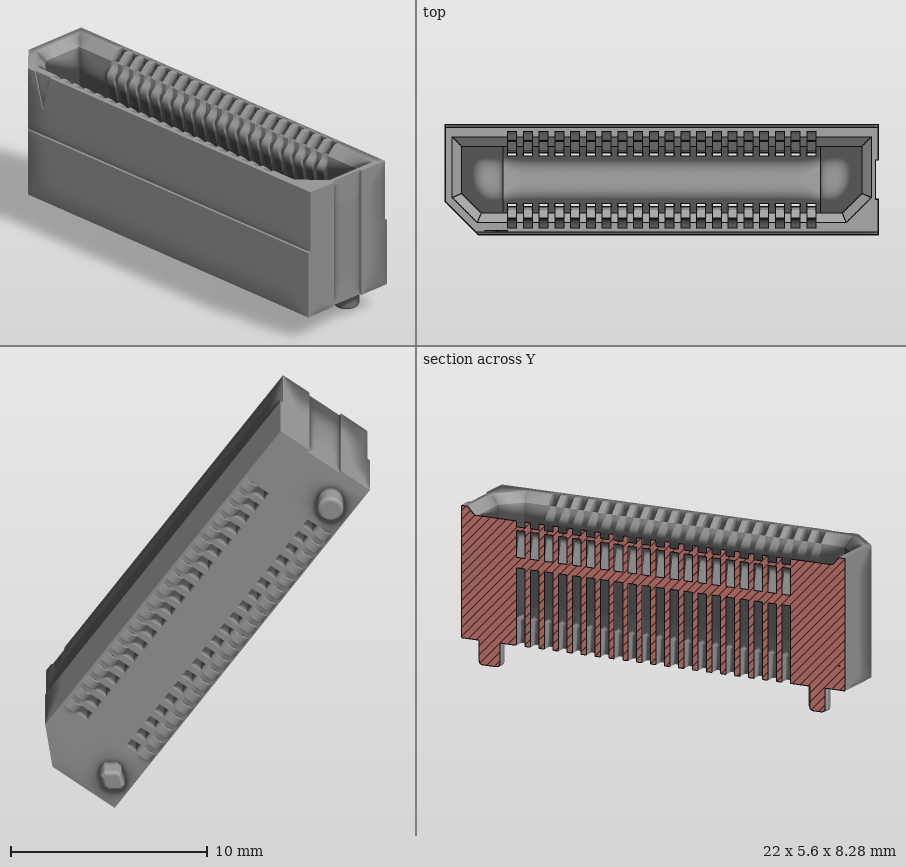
import cadquery as cq
import math

LENGTH = 22.0
BASE_WIDTH = 5.6
HEIGHT = 7.0
STEP_WIDTH = 0.15
STEP_HEIGHT = 3.63
CORNER_CUT = 1.7
END_RECESS_DEPTH = 0.13
END_RECESS_WIDTH = 1.98

MOUTH_LENGTH = 21.3
MOUTH_WIDTH = 4.35
MOUTH_CORNER = 1.28
LEAD_IN = 0.48
FLOOR_HEIGHT = 1.32
END_FLOOR_HEIGHT = 1.0
MIDDLE_FLOOR_LENGTH = 16.1

MARK_WIDTH = 1.15
MARK_HEIGHT = 2.0
MARK_DEPTH = 0.07
MARK_X = -8.4

CONTACTS_PER_ROW = 20
ROW_SPAN = 15.2
PITCH = ROW_SPAN / (CONTACTS_PER_ROW - 1)
CONTACT_WIDTH = 0.46
THICKNESS = 0.15
SLOT_INNER_Y = 1.2
SLOT_OUTER_Y = 2.45
TAIL_RADIUS = 0.46
TAIL_DROP = 0.22
LEG_Y = 1.85
LEG_TOP = 3.75
TIP_Y = 1.32
TIP_HEIGHT = 5.83
TIP_RADIUS = 0.45
ARM_REACH = 0.62

PEG_LENGTH = 1.28
PEG_X = 9.4
PEG_Y = 1.5
PEG_RADIUS = 0.65
PEG_ROUNDING = 0.2
DIAMOND_HALF_X = 0.55
DIAMOND_TIP_HALF_Y = 0.13
DIAMOND_TIP_HALF_X = 0.165


def make_housing():
    base = cq.Workplane("XY").box(LENGTH, BASE_WIDTH, STEP_HEIGHT, centered=(True, True, False))
    top_width = BASE_WIDTH - 2 * STEP_WIDTH
    body = base.union(cq.Workplane("XY").box(LENGTH, top_width, HEIGHT, centered=(True, True, False)))
    left, front = -LENGTH / 2, -BASE_WIDTH / 2
    corner = (
        cq.Workplane("XY")
        .polyline([(left, front), (left + CORNER_CUT, front), (left, front + CORNER_CUT)])
        .close()
        .extrude(HEIGHT)
    )
    recess = cq.Workplane("XY").box(
        2 * END_RECESS_DEPTH, END_RECESS_WIDTH, HEIGHT, centered=(True, True, False)
    )
    return body.cut(corner).cut(recess.translate((LENGTH / 2, 0, 0)))


def cavity_outline(height, inset):
    """Cavity outline at a height, moved in evenly from the mouth."""
    x = MOUTH_LENGTH / 2 - inset
    y = MOUTH_WIDTH / 2 - inset
    cut = MOUTH_CORNER - inset * (2 - math.sqrt(2))
    points = [(-x, y), (-x, -y + cut), (-x + cut, -y), (x - cut, -y), (x, -y + cut), (x, y)]
    return cq.Workplane("XY").workplane(offset=height).polyline(points).close()


def make_cavity():
    lead_in_bottom = HEIGHT - LEAD_IN
    well = cavity_outline(END_FLOOR_HEIGHT, LEAD_IN).extrude(lead_in_bottom - END_FLOOR_HEIGHT)
    lead_in = cq.Workplane(
        cq.Solid.makeLoft(
            [cavity_outline(lead_in_bottom, LEAD_IN).val(), cavity_outline(HEIGHT, 0).val()], True
        )
    )
    raised_floor = cq.Workplane("XY").box(
        MIDDLE_FLOOR_LENGTH, MOUTH_WIDTH, FLOOR_HEIGHT, centered=(True, True, False)
    )
    return well.cut(raised_floor).union(lead_in)


def make_mark():
    """Shallow V with its point down."""
    face_y = -BASE_WIDTH / 2 + STEP_WIDTH
    half = MARK_WIDTH / 2
    return (
        cq.Workplane("XZ", origin=(MARK_X, face_y + MARK_DEPTH, HEIGHT))
        .polyline([(-half, 0), (half, 0), (0, -MARK_HEIGHT)])
        .close()
        .extrude(MARK_DEPTH)
    )


def make_slot():
    return cq.Workplane("XY").box(
        CONTACT_WIDTH, SLOT_OUTER_Y - SLOT_INNER_Y, HEIGHT, centered=(True, False, False)
    ).translate((0, SLOT_INNER_Y, 0))


def make_contact():
    """Bent strip: U-shaped tail, upright leg, arm leaning into the cavity and arm leaning back."""
    tail_y = LEG_Y + TAIL_RADIUS
    tail_z = TAIL_RADIUS - TAIL_DROP
    inner_radius = TAIL_RADIUS - THICKNESS
    leg_back = LEG_Y + THICKNESS
    arm_drop = THICKNESS * math.sqrt(2)
    arm_end = (TIP_Y + ARM_REACH, TIP_HEIGHT + ARM_REACH)
    bend_inside = (TIP_Y + THICKNESS, TIP_HEIGHT + THICKNESS - arm_drop)
    profile = (
        cq.Workplane("YZ", origin=(-CONTACT_WIDTH / 2, 0, 0))
        .moveTo(tail_y + TAIL_RADIUS, tail_z)
        .threePointArc((tail_y, -TAIL_DROP), (LEG_Y, tail_z))
        .lineTo(LEG_Y, LEG_TOP)
        .lineTo(TIP_Y, TIP_HEIGHT)
        .lineTo(*arm_end)
        .lineTo(arm_end[0], arm_end[1] - arm_drop)
        .lineTo(*bend_inside)
        .lineTo(leg_back, LEG_TOP)
        .lineTo(leg_back, tail_z)
        .threePointArc((tail_y, tail_z - inner_radius), (tail_y + inner_radius, tail_z))
        .close()
    )
    strip = profile.extrude(CONTACT_WIDTH)
    tip_edge = cq.selectors.NearestToPointSelector((0, TIP_Y, TIP_HEIGHT))
    inner_edge = cq.selectors.NearestToPointSelector((0, *bend_inside))
    strip = strip.edges("|X").edges(tip_edge).fillet(TIP_RADIUS)
    return strip.edges("|X").edges(inner_edge).fillet(TIP_RADIUS - THICKNESS)


def both_rows(shape):
    """Copies of a rear-row shape at every contact place of both rows."""
    pair = [shape, shape.mirror("XZ")]
    copies = []
    for index in range(CONTACTS_PER_ROW):
        x = index * PITCH - ROW_SPAN / 2
        copies += [half.translate((x, 0, 0)).val() for half in pair]
    return copies


def make_round_peg():
    peg = cq.Workplane("XY", origin=(PEG_X, PEG_Y, 0)).circle(PEG_RADIUS).extrude(-PEG_LENGTH)
    return peg.faces("<Z").fillet(PEG_ROUNDING)


def make_diamond_peg():
    """Diamond with blunt side points and rounded front and rear points."""
    shoulder_y = math.sqrt(PEG_RADIUS**2 - DIAMOND_TIP_HALF_X**2)
    peg = (
        cq.Workplane("XY", origin=(-PEG_X, PEG_Y, 0))
        .moveTo(DIAMOND_HALF_X, -DIAMOND_TIP_HALF_Y)
        .lineTo(DIAMOND_HALF_X, DIAMOND_TIP_HALF_Y)
        .lineTo(DIAMOND_TIP_HALF_X, shoulder_y)
        .threePointArc((0, PEG_RADIUS), (-DIAMOND_TIP_HALF_X, shoulder_y))
        .lineTo(-DIAMOND_HALF_X, DIAMOND_TIP_HALF_Y)
        .lineTo(-DIAMOND_HALF_X, -DIAMOND_TIP_HALF_Y)
        .lineTo(-DIAMOND_TIP_HALF_X, -shoulder_y)
        .threePointArc((0, -PEG_RADIUS), (DIAMOND_TIP_HALF_X, -shoulder_y))
        .close()
        .extrude(-PEG_LENGTH)
    )
    return peg.faces("<Z").fillet(PEG_ROUNDING)


housing = make_housing().cut(make_cavity()).cut(make_mark())
housing = housing.union(make_round_peg()).union(make_diamond_peg())
slotted = housing.val().cut(*both_rows(make_slot()))
result = cq.Workplane(slotted.fuse(*both_rows(make_contact())))